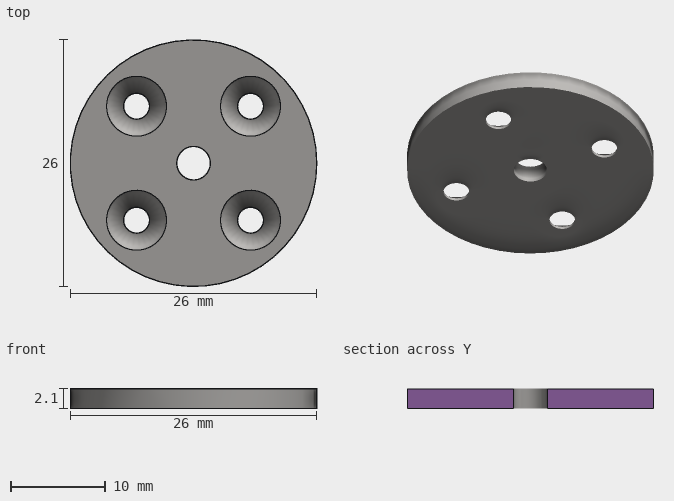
import cadquery as cq

plate_diameter = 26
plate_thickness = 2.1
center_hole_diameter = 3.5

screw_spacing = 12.0
screw_hole_diameter = 2.7
countersink_diameter = 6.32
countersink_angle = 90


def make_plate():
    """Disc resting on Z = 0 with a plain hole through its center."""
    return (
        cq.Workplane("XY")
        .circle(plate_diameter / 2)
        .circle(center_hole_diameter / 2)
        .extrude(plate_thickness)
    )


def add_screw_holes(plate):
    """Through holes, countersunk from the top face."""
    return (
        plate.faces(">Z")
        .workplane(origin=(0, 0, plate_thickness))
        .rarray(screw_spacing, screw_spacing, 2, 2)
        .cskHole(screw_hole_diameter, countersink_diameter, countersink_angle)
    )


result = add_screw_holes(make_plate())